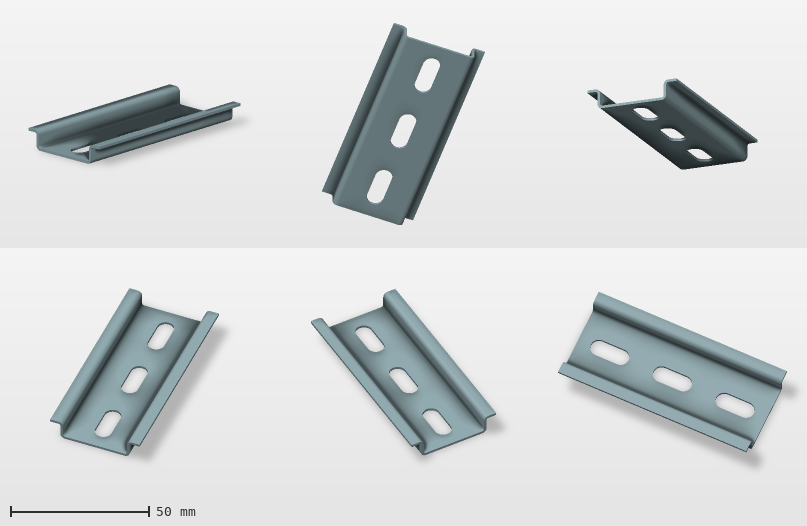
import cadquery as cq

length = 75.0
width = 35.0
height = 7.5
thickness = 1.0

channel_width = 27.0
inner_radius = 0.8
outer_radius = inner_radius + thickness

slot_count = 3
slot_length = 15.0
slot_width = 6.3
slot_pitch = length / slot_count


def block(size_x, bottom, top):
    """Full-length block centred on X and Y between two heights."""
    return (
        cq.Workplane("XY")
        .workplane(offset=bottom)
        .rect(size_x, length)
        .extrude(top - bottom)
    )


def make_rail():
    """Hat section with rounded bends, open upwards."""
    half_width = width / 2
    outer_wall = channel_width / 2
    inner_wall = outer_wall - thickness
    flange_bottom = height - thickness

    rail = block(width, 0, height)
    rail = rail.cut(block(2 * inner_wall, thickness, height))

    side_gap = half_width - outer_wall
    for side in (-1, 1):
        gap = block(side_gap, 0, flange_bottom)
        rail = rail.cut(gap.translate((side * (outer_wall + side_gap / 2), 0, 0)))

    def bend_edges(x, z):
        """Pick the lengthwise corner edges at +/-x and height z."""
        reach = thickness / 4
        selection = None
        for side in (-1, 1):
            low = (side * x - reach, -length, z - reach)
            high = (side * x + reach, length, z + reach)
            box = cq.selectors.BoxSelector(low, high)
            selection = box if selection is None else selection + box
        return rail.edges("|Y").edges(selection)

    rail = bend_edges(outer_wall, 0).fillet(outer_radius)
    rail = bend_edges(inner_wall, thickness).fillet(inner_radius)
    rail = bend_edges(inner_wall, height).fillet(outer_radius)
    rail = bend_edges(outer_wall, flange_bottom).fillet(inner_radius)
    return rail


def make_slots():
    """Lengthwise slots, evenly spaced about the middle of the rail."""
    return (
        cq.Workplane("XY")
        .rarray(0.75, slot_pitch, 1, slot_count)
        .slot2D(slot_length, slot_width, 90)
        .extrude(thickness)
    )


result = make_rail().cut(make_slots())